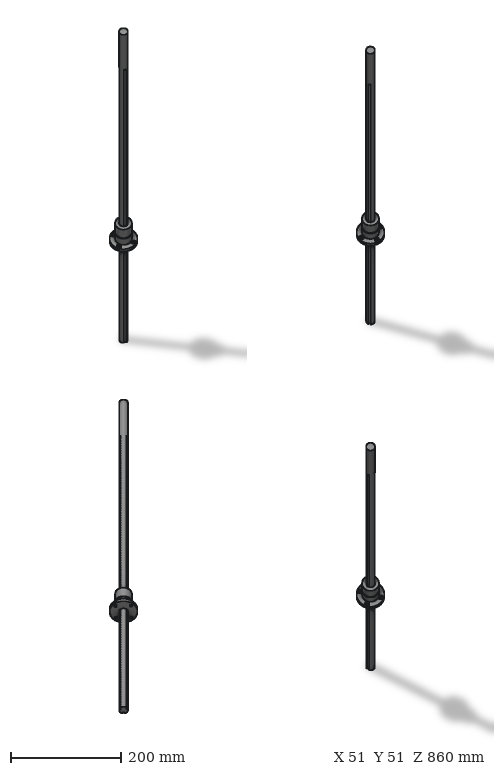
import cadquery as cq
import math

SHAFT_LENGTH = 860.0
SHAFT_DIAMETER = 16.0
SPLINE_LENGTH = 761.0
GROOVE_RADIUS = 2.2
GROOVE_ANGLES = (90, 210, 330)

NUT_BOTTOM = 275.0
NUT_LENGTH = 50.0
NUT_DIAMETER = 31.0
FLANGE_DIAMETER = 51.0
FLANGE_THICKNESS = 7.0

RING_WIDTH = 2.0
RING_DEPTH = 0.3

OIL_HOLE_DIAMETER = 1.5
OIL_HOLE_ANGLES = (0, 90, 180, 270)

BOLT_COUNT = 4
BOLT_CIRCLE_RADIUS = 20.0
BOLT_START_ANGLE = 17
BOLT_HOLE_DIAMETER = 4.5
COUNTERBORE_DIAMETER = 8.0
COUNTERBORE_DEPTH = 4.0


def cylinder(diameter, height, bottom):
    """Cylinder on the Z axis."""
    return cq.Workplane("XY").workplane(offset=bottom).circle(diameter / 2).extrude(height)


def polar_point(radius, angle):
    """Point at an angle in degrees from +X."""
    return radius * math.cos(math.radians(angle)), radius * math.sin(math.radians(angle))


def make_shaft():
    """Round shaft with ball grooves that stop below its plain upper end."""
    shaft = cylinder(SHAFT_DIAMETER, SHAFT_LENGTH, 0)
    groove_centers = [polar_point(SHAFT_DIAMETER / 2, angle) for angle in GROOVE_ANGLES]
    grooves = cq.Workplane("XY").pushPoints(groove_centers).circle(GROOVE_RADIUS).extrude(SPLINE_LENGTH)
    return shaft.cut(grooves)


def make_nut():
    """Flanged sleeve with a round bore, a shallow ring groove, oil holes and mounting holes."""
    flange = cylinder(FLANGE_DIAMETER, FLANGE_THICKNESS, NUT_BOTTOM)
    nut = cylinder(NUT_DIAMETER, NUT_LENGTH, NUT_BOTTOM).union(flange)
    nut = nut.cut(cylinder(SHAFT_DIAMETER, NUT_LENGTH, NUT_BOTTOM))

    ring_bottom = NUT_BOTTOM + (NUT_LENGTH - RING_WIDTH) / 2
    ring = cylinder(NUT_DIAMETER, RING_WIDTH, ring_bottom)
    ring = ring.cut(cylinder(NUT_DIAMETER - 2 * RING_DEPTH, RING_WIDTH, ring_bottom))
    nut = nut.cut(ring)

    middle = cq.Vector(0, 0, NUT_BOTTOM + NUT_LENGTH / 2)
    for angle in OIL_HOLE_ANGLES:
        direction = cq.Vector(*polar_point(1, angle), 0)
        nut = nut.cut(cq.Solid.makeCylinder(OIL_HOLE_DIAMETER / 2, NUT_DIAMETER / 2, middle, direction))

    bolt_centers = [
        polar_point(BOLT_CIRCLE_RADIUS, BOLT_START_ANGLE + index * 360 / BOLT_COUNT)
        for index in range(BOLT_COUNT)
    ]
    flange_top = cq.Workplane("XY").workplane(offset=NUT_BOTTOM + FLANGE_THICKNESS).pushPoints(bolt_centers)
    holes = flange_top.circle(BOLT_HOLE_DIAMETER / 2).extrude(-FLANGE_THICKNESS)
    counterbores = flange_top.circle(COUNTERBORE_DIAMETER / 2).extrude(-COUNTERBORE_DEPTH)
    return nut.cut(holes).cut(counterbores)


shaft = make_shaft()
nut = make_nut()
result = cq.Compound.makeCompound([shaft.val(), nut.val()])